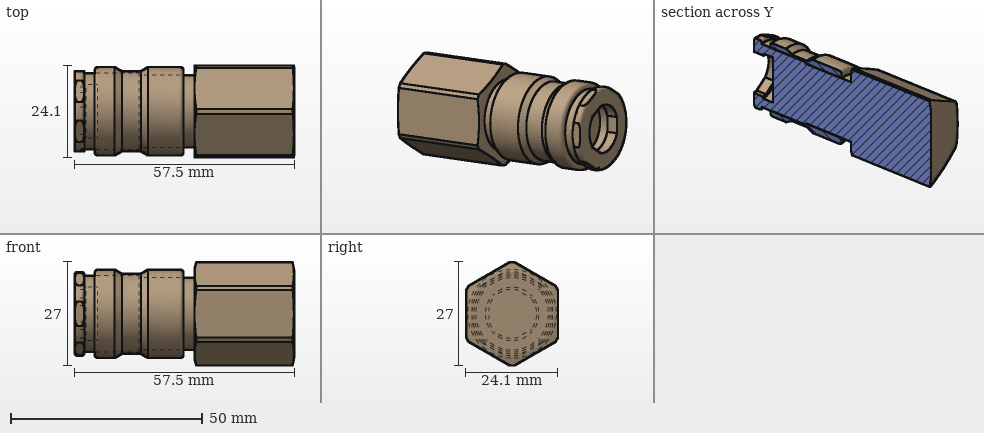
import cadquery as cq
import math


total_length = 57.5
collar_length = 2.6
sleeve_start = 5.25
sleeve_end = 28.5
stem_step = (sleeve_start + sleeve_end) / 2
hex_start = 31.35

collar_diameter = 21.95
collar_flats = 21.0
collar_fillet = 0.85

front_stem_diameter = 20.0
rear_stem_diameter = 19.0

hex_flats = 24.05
hex_corner_diameter = 27.0
hex_front_face_diameter = 24.05
hex_front_chamfer = 0.45
hex_rear_face_diameter = 21.85
hex_rear_chamfer = 0.5

socket_diameter = 12.8
socket_flat_distance = 6.05
socket_keyed_depth = 3.05
socket_flat_angles = (60, 180, 300)
chamber_diameter = 14.0
socket_depth = 6.05

sleeve_diameter = 23.2
sleeve_fillet = 1.0
waist_diameter = 21.0
waist_start = 12.35
waist_end = 17.3
waist_slope_length = 1.9


def cylinder(diameter, start, end):
    """Solid cylinder on the X axis between two X positions."""
    return cq.Workplane("YZ", origin=(start, 0, 0)).circle(diameter / 2).extrude(end - start)


def hexagon(flats, start, end):
    """Hexagonal bar on the X axis with two flats facing -Y and +Y."""
    corner_diameter = flats / math.cos(math.pi / 6)
    bar = cq.Workplane("YZ", origin=(start, 0, 0)).polygon(6, corner_diameter).extrude(end - start)
    return bar.rotate((0, 0, 0), (1, 0, 0), 30)


def revolve_profile(points):
    """Revolve a closed outline of (x, radius) points around the X axis."""
    return cq.Workplane("XY").polyline(points).close().revolve(360, (0, 0, 0), (1, 0, 0))


def make_collar():
    rounded_disc = cylinder(collar_diameter, 0, collar_length).edges().fillet(collar_fillet)
    return rounded_disc.intersect(hexagon(collar_flats, 0, collar_length))


def make_hex_end():
    corner_radius = hex_corner_diameter / 2
    turned_blank = revolve_profile([
        (hex_start, 0),
        (hex_start, hex_front_face_diameter / 2),
        (hex_start + hex_front_chamfer, corner_radius),
        (total_length - hex_rear_chamfer, corner_radius),
        (total_length, hex_rear_face_diameter / 2),
        (total_length, 0),
    ])
    return turned_blank.intersect(hexagon(hex_flats, hex_start, total_length))


def make_socket():
    """Volume of the socket: a mouth with three flats, then a round chamber."""
    mouth = cylinder(socket_diameter, 0, socket_keyed_depth)
    for angle in socket_flat_angles:
        beyond_flat = (
            cq.Workplane("XY")
            .box(socket_keyed_depth, socket_diameter, socket_diameter, centered=(False, False, True))
            .translate((0, socket_flat_distance, 0))
            .rotate((0, 0, 0), (1, 0, 0), angle)
        )
        mouth = mouth.cut(beyond_flat)
    return mouth.union(cylinder(chamber_diameter, socket_keyed_depth, socket_depth))


def make_stem():
    front_stem = cylinder(front_stem_diameter, collar_length, stem_step)
    rear_stem = cylinder(rear_stem_diameter, stem_step, hex_start)
    return front_stem.union(rear_stem)


def make_core():
    return make_collar().union(make_stem()).union(make_hex_end()).cut(make_socket())


def make_sleeve():
    """Ring with a waisted middle, rounded rims and a bore that fits the stepped stem."""
    outer = cylinder(sleeve_diameter, sleeve_start, sleeve_end).edges().fillet(sleeve_fillet)
    waist_radius = waist_diameter / 2
    rim_radius = sleeve_diameter / 2
    waist_groove = revolve_profile([
        (waist_start - waist_slope_length, rim_radius),
        (waist_start, waist_radius),
        (waist_end, waist_radius),
        (waist_end + waist_slope_length, rim_radius),
    ])
    return outer.cut(waist_groove).cut(make_stem())


core = make_core()
sleeve = make_sleeve()
result = cq.Compound.makeCompound([core.val(), sleeve.val()])